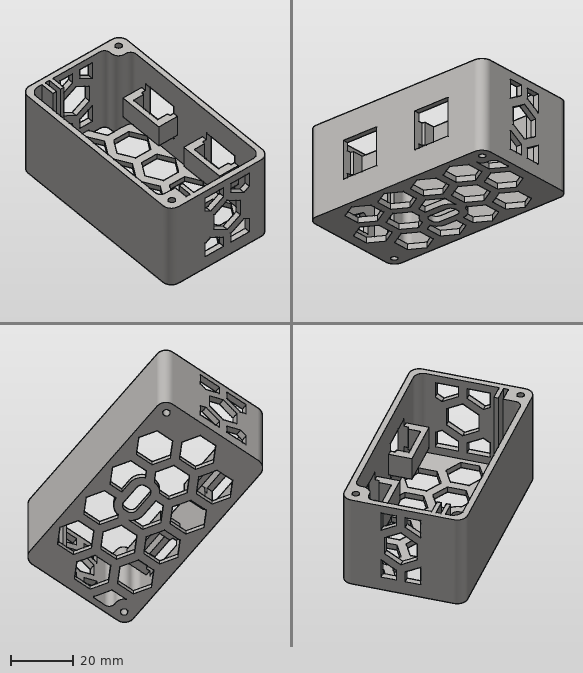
import cadquery as cq
import math

length = 74.7
width = 41.7
height = 33.5
wall = 2.1
floor = 2.1
outer_radius = 3.6
inner_radius = 3.3
inner_x = length / 2 - wall
inner_y = width / 2 - wall

screw_diameter = 2.4
screw_inset_x = 3.7
screw_inset_y = 3.9
back_post_size = 6.0
post_radius = 3.0
foot_radius = 2.25
front_post_width = 7.6

fin_length = 5.5
fin_thickness = 1.5
fin_gap = 1.65
upper_fin_y = -9.2
lower_fin_y = upper_fin_y - fin_thickness - fin_gap

hex_flats = 11.0
hex_web = 3.0
hex_pitch = hex_flats + hex_web
row_pitch = hex_pitch * math.sqrt(3) / 2
hex_corners = hex_flats * 2 / math.sqrt(3)

slot_x = 2.3
slot_y = -5.2
slot_length = 11.05
slot_width = 5.1
slot_radius = 2.0
slot_border = 2.85

grille_front_y = -6.1
left_grille_width = 13.45
right_grille_width = 18.5
grille_height = 25.55
grille_z = (height + floor) / 2

jack_x = 15.25
jack_z = height / 2
jack_opening = 14.1
bracket_width = 17.9
bracket_depth = 7.85
bracket_height = 8.2
bracket_bore = 11.95
bracket_front = 1.95
recess_depth = 1.4
recess_slope = 0.3


def block(x_min, x_max, y_min, y_max, z_min, z_max):
    """Box given by its limits along each axis."""
    size = (x_max - x_min, y_max - y_min, z_max - z_min)
    return cq.Workplane("XY").box(*size, centered=False).translate((x_min, y_min, z_min))


def rounded_bar(x_size, y_size, z_size, radius):
    """Upright block with rounded corners, base on Z = 0."""
    return cq.Workplane("XY").rect(x_size, y_size).extrude(z_size).edges("|Z").fillet(radius)


def hex_row(count, row):
    """Cell centres of one honeycomb row, centred on the middle of the grid."""
    first = -(count - 1) / 2
    return [((first + i) * hex_pitch, row * row_pitch) for i in range(count)]


def hex_prisms(centers, depth):
    """Hexagonal prisms, each with a corner pointing along Y."""
    cell = cq.Sketch().regularPolygon(hex_corners / 2, 6)
    return cq.Workplane("XY").pushPoints(centers).placeSketch(cell).extrude(depth)


def cavity(bottom):
    """Inside of the box from the given level up, without the two screw posts."""
    front_post_x = length / 2 - front_post_width
    post_x = -inner_x + back_post_size
    post_y = inner_y - back_post_size
    outline = (
        cq.Workplane("XY", origin=(0, 0, bottom))
        .moveTo(-inner_x + inner_radius, -inner_y)
        .lineTo(front_post_x - foot_radius, -inner_y)
        .tangentArcPoint((front_post_x, -inner_y + foot_radius), relative=False)
        .lineTo(front_post_x, lower_fin_y)
        .lineTo(inner_x, lower_fin_y)
        .lineTo(inner_x, inner_y - inner_radius)
        .tangentArcPoint((inner_x - inner_radius, inner_y), relative=False)
        .lineTo(post_x + foot_radius, inner_y)
        .tangentArcPoint((post_x, inner_y - foot_radius), relative=False)
        .lineTo(post_x, post_y + post_radius)
        .tangentArcPoint((post_x - post_radius, post_y), relative=False)
        .lineTo(-inner_x + foot_radius, post_y)
        .tangentArcPoint((-inner_x, post_y - foot_radius), relative=False)
        .lineTo(-inner_x, -inner_y + inner_radius)
        .tangentArcPoint((-inner_x + inner_radius, -inner_y), relative=False)
        .close()
    )
    return outline.extrude(height - bottom)


def floor_openings():
    """Honeycomb inside the cavity outline and clear of the slot border, plus the slot itself."""
    back_row = hex_row(6, 1)[:-1]
    centers = hex_row(4, -1) + hex_row(5, 0) + back_row
    border = rounded_bar(
        slot_length + 2 * slot_border,
        slot_width + 2 * slot_border,
        floor,
        slot_radius + slot_border,
    )
    slot = rounded_bar(slot_length, slot_width, floor, slot_radius)
    place = (slot_x, slot_y, 0)
    cells = hex_prisms(centers, floor).intersect(cavity(0))
    return cells.cut(border.translate(place)).union(slot.translate(place))


def grille(window_width):
    """Honeycomb clipped to a window, lying flat and centred on the origin."""
    centers = hex_row(2, -1) + hex_row(1, 0) + hex_row(2, 1)
    window = cq.Workplane("XY").rect(window_width, grille_height).extrude(wall)
    return hex_prisms(centers, wall).intersect(window)


def end_grille(window_width, wall_x):
    """Grille turned upright into the end wall that starts at wall_x."""
    upright = grille(window_width).rotate((0, 0, 0), (1, 1, 1), 120)
    return upright.translate((wall_x, grille_front_y + window_width / 2, grille_z))


def fin(x_min, y_max):
    """One guide fin, from the floor to the rim."""
    return block(x_min, x_min + fin_length, y_max - fin_thickness, y_max, floor, height)


def bracket(x):
    """U-shaped bracket on the inner face of the back wall."""
    front = inner_y - bracket_depth
    bottom = jack_z - bracket_height / 2
    half_width = bracket_width / 2
    body = block(x - half_width, x + half_width, front, inner_y, bottom, bottom + bracket_height)
    half_bore = bracket_bore / 2
    half_recess = jack_opening / 2
    recess_y = inner_y - recess_depth
    bore = (
        cq.Workplane("XY", origin=(x, 0, bottom))
        .moveTo(-half_recess, inner_y)
        .lineTo(-half_recess, recess_y)
        .lineTo(-half_bore, recess_y - recess_slope)
        .lineTo(-half_bore, front + bracket_front)
        .lineTo(half_bore, front + bracket_front)
        .lineTo(half_bore, recess_y - recess_slope)
        .lineTo(half_recess, recess_y)
        .lineTo(half_recess, inner_y)
        .close()
        .extrude(bracket_height)
    )
    return body.cut(bore)


def jack_hole(x):
    """Square opening through the back wall."""
    half = jack_opening / 2
    return block(x - half, x + half, inner_y, width / 2, jack_z - half, jack_z + half)


result = rounded_bar(length, width, height, outer_radius)
result = result.cut(cavity(floor)).cut(floor_openings())

result = result.cut(end_grille(left_grille_width, -length / 2))
result = result.cut(end_grille(right_grille_width, inner_x))

result = result.union(fin(-inner_x, upper_fin_y)).union(fin(-inner_x, lower_fin_y))
result = result.union(fin(inner_x - fin_length, upper_fin_y))

for x in (-jack_x, jack_x):
    result = result.cut(jack_hole(x)).union(bracket(x))

screw_x = length / 2 - screw_inset_x
screw_y = width / 2 - screw_inset_y
screws = [(-screw_x, screw_y), (screw_x, -screw_y)]
result = result.cut(cq.Workplane("XY").pushPoints(screws).circle(screw_diameter / 2).extrude(height))